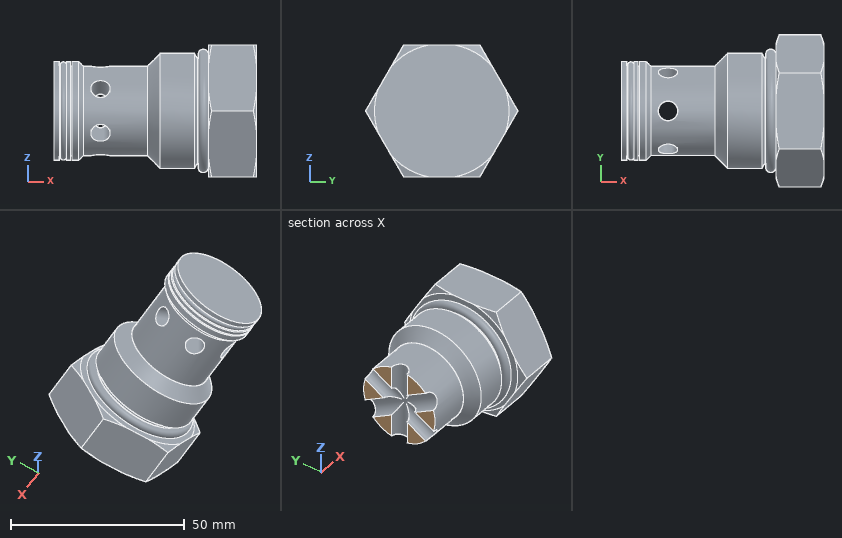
import cadquery as cq
import math

total_length = 58.4

head_diameter = 28.55
seal_groove_floor_diameter = 26.0
seal_groove_start = 1.6
seal_groove_end = 5.2
head_end = 7.1

tube_diameter = 25.9
joint_position = 27.0
flow_hole_diameter = 5.55
flow_hole_position = 13.45
flow_hole_count = 6

cone_start_diameter = 26.0
shoulder_diameter = 33.3
shoulder_end = 40.5
shoulder_chamfer_angle = 60.0
neck_diameter = 30.4

hex_across_flats = 38.1
hex_start = 44.5
hex_chamfer_diameter = 38.8
hex_chamfer_angle = 20.0

nose_ring_section = 1.78
nose_ring_outer_diameter = 28.4
backup_ring_outer_diameter = 28.5
backup_ring_width = 1.15
backup_ring_start = 3.6

flange_ring_section = 2.95
flange_ring_outer_diameter = 35.65

head_radius = head_diameter / 2
groove_floor_radius = seal_groove_floor_diameter / 2
tube_radius = tube_diameter / 2
cone_start_radius = cone_start_diameter / 2
shoulder_radius = shoulder_diameter / 2
neck_radius = neck_diameter / 2
hex_across_corners = hex_across_flats / math.cos(math.radians(30))
head_chamfer_end = head_end + head_radius - tube_radius
cone_end = joint_position + shoulder_radius - cone_start_radius
shoulder_chamfer_length = (shoulder_radius - neck_radius) / math.tan(math.radians(shoulder_chamfer_angle))
nose_ring_position = backup_ring_start - nose_ring_section / 2
flange_ring_position = hex_start - flange_ring_section / 2


def turned(points):
    """Revolve a closed profile of (X, radius) points about the X axis."""
    return cq.Workplane("XY").polyline(points).close().revolve(360, (0, 0, 0), (1, 0, 0))


def o_ring(position, outer_diameter, section):
    """Round-section ring around the X axis, centred at the given X position."""
    centre_radius = (outer_diameter - section) / 2
    return (
        cq.Workplane("XY")
        .center(position, centre_radius)
        .circle(section / 2)
        .revolve(360, (0, -centre_radius, 0), (1, -centre_radius, 0))
    )


def cage_blank():
    """Sealing head with its groove, then the tube up to the joint."""
    return turned([
        (0, 0),
        (0, head_radius),
        (seal_groove_start, head_radius),
        (seal_groove_start, groove_floor_radius),
        (seal_groove_end, groove_floor_radius),
        (seal_groove_end, head_radius),
        (head_end, head_radius),
        (head_chamfer_end, tube_radius),
        (joint_position, tube_radius),
        (joint_position, 0),
    ])


def plug_barrel():
    """Cone, shoulder and neck, up to the hexagonal head."""
    return turned([
        (joint_position, 0),
        (joint_position, cone_start_radius),
        (cone_end, shoulder_radius),
        (shoulder_end, shoulder_radius),
        (shoulder_end + shoulder_chamfer_length, neck_radius),
        (hex_start, neck_radius),
        (hex_start, 0),
    ])


def hex_head():
    """Hexagon with flats facing up and down and corners chamfered at both ends."""
    hexagon = (
        cq.Workplane("YZ")
        .workplane(offset=hex_start)
        .polygon(6, hex_across_corners)
        .extrude(total_length - hex_start)
    )
    face_radius = hex_chamfer_diameter / 2
    corner_radius = hex_across_corners / 2
    chamfer_length = (corner_radius - face_radius) * math.tan(math.radians(hex_chamfer_angle))
    chamfer_envelope = turned([
        (hex_start, 0),
        (hex_start, face_radius),
        (hex_start + chamfer_length, corner_radius),
        (total_length - chamfer_length, corner_radius),
        (total_length, face_radius),
        (total_length, 0),
    ])
    return hexagon.intersect(chamfer_envelope)


def flow_holes():
    """Evenly spaced radial drills that all meet on the axis, one of them pointing straight up."""
    drill = (
        cq.Workplane("XY")
        .center(flow_hole_position, 0)
        .circle(flow_hole_diameter / 2)
        .extrude(head_radius)
    )
    drills = drill
    for index in range(1, flow_hole_count):
        drills = drills.union(drill.rotate((0, 0, 0), (1, 0, 0), index * 360 / flow_hole_count))
    return drills


def make_backup_ring():
    """Flat ring that supports the nose O-ring."""
    return (
        cq.Workplane("YZ")
        .workplane(offset=backup_ring_start)
        .circle(backup_ring_outer_diameter / 2)
        .circle(groove_floor_radius)
        .extrude(backup_ring_width)
    )


nose_o_ring = o_ring(nose_ring_position, nose_ring_outer_diameter, nose_ring_section)
flange_o_ring = o_ring(flange_ring_position, flange_ring_outer_diameter, flange_ring_section)
backup_ring = make_backup_ring()

cage = cage_blank().cut(flow_holes()).cut(nose_o_ring)
plug = plug_barrel().union(hex_head()).cut(flange_o_ring)

result = cq.Compound.makeCompound([
    cage.val(),
    plug.val(),
    nose_o_ring.val(),
    backup_ring.val(),
    flange_o_ring.val(),
])